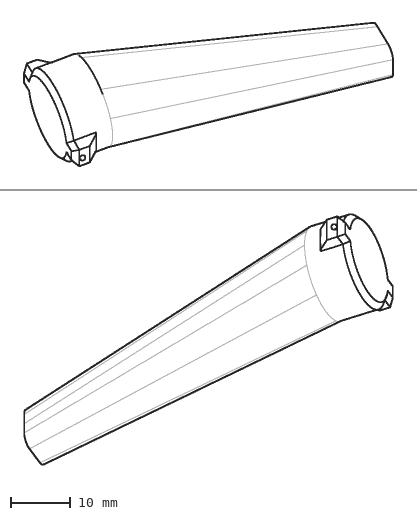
import cadquery as cq

collar_radius = 8.3
collar_length = 8.0
front_chamfer = 1.0

total_length = 62.0
total_height = 28.3
tip_side = 8.0
tip_corner_radius = 2.0
tip_center_z = collar_radius - total_height + tip_side / 2

lug_reach = 10.15
lug_height = 4.45
lug_flat_end = 2.9
lug_back_end = 5.0

detent_radius = 0.5
detent_reach = 10.8
detent_y = front_chamfer + detent_radius


def xz_plane(y, z=0.0):
    """Plane facing +Y, with its local x along -X and local y along +Z."""
    return cq.Plane(origin=(0, y, z), xDir=(-1, 0, 0), normal=(0, 1, 0))


def make_collar():
    cylinder = cq.Workplane(xz_plane(0)).circle(collar_radius).extrude(collar_length)
    return cylinder.faces("<Y").chamfer(front_chamfer)


def make_lugs():
    """One bar across the collar; its back slopes end level with the collar side."""
    outline = [
        (-lug_reach, 0),
        (lug_reach, 0),
        (lug_reach, lug_flat_end),
        (collar_radius, lug_back_end),
        (-collar_radius, lug_back_end),
        (-lug_reach, lug_flat_end),
    ]
    bar = cq.Workplane("XY").polyline(outline).close().extrude(lug_height / 2, both=True)
    return bar.faces("<Y").chamfer(front_chamfer)


def make_spout():
    tip = cq.Sketch().rect(tip_side, tip_side).vertices().fillet(tip_corner_radius)
    root = cq.Sketch().circle(collar_radius)
    return (
        cq.Workplane()
        .placeSketch(
            root.moved(cq.Location(xz_plane(collar_length))),
            tip.moved(cq.Location(xz_plane(total_length, tip_center_z))),
        )
        .loft(ruled=True)
    )


def make_detents():
    center_x = detent_reach - detent_radius
    centers = [(-center_x, detent_y), (center_x, detent_y)]
    return cq.Workplane("XY").pushPoints(centers).sphere(detent_radius)


result = make_collar().union(make_lugs()).union(make_spout()).union(make_detents())